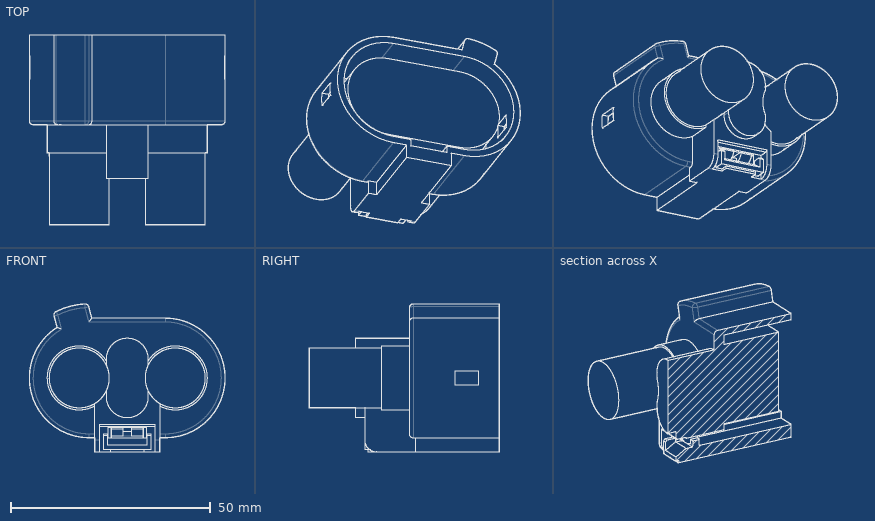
import cadquery as cq
import math


body_length = 49.0
body_radius = 15.0
body_depth = 22.5
front_fillet = 1.0
wall = 1.75
front_wall = 2.95
end_center = body_length / 2 - body_radius

core_radius = 10.8
core_setback = 3.65

rib_radius = 18.55
rib_width = 9.0
rib_tilt = 15.0
rib_fillet = 1.0

window_near = 5.25
window_far = 11.0
window_height = 3.55

cable_spacing = 24.0
cable_diameter = 15.0
cable_length = 25.05
collar_diameter = 16.0
collar_length = 7.0

boss_width = 10.5
boss_height = 19.9
boss_length = 13.45

latch_width = 16.3
latch_bottom = -18.5
latch_length = 11.1
latch_round = 2.95
tail_width = 11.95
tail_length = 20.9
latch_front = -(body_depth + latch_length)

recess_width = 13.9
recess_top = -11.65
recess_depth = latch_round
recess_bevel_depth = 0.5
recess_bevel_drop = 0.45
recess_ceiling = recess_top - recess_bevel_drop
recess_back = latch_front + recess_depth

frame_width = 11.95
frame_opening = 10.0
frame_top = -14.0
frame_bottom = -17.95
frame_chamfer = 0.45

foot_width = 8.45
foot_setback = 0.8

passage_width = 9.6
passage_top = -12.4
passage_bevel_depth = 0.25
passage_bottom = -15.0
lead_in_bottom = -16.7

bar_width = 8.05
bar_top = -13.35
bar_thickness = 1.95
bar_front = latch_front + 4.9
bar_ramp_top = -14.5
bar_ramp_run = 0.1
hook_gap = 2.1
hook_length = 2.35
hook_edge = -12.75
hook_radius = 2.75


def box(x_min, x_max, y_min, y_max, z_min, z_max):
    size = (x_max - x_min, y_max - y_min, z_max - z_min)
    return cq.Workplane("XY").box(*size, centered=False).translate((x_min, y_min, z_min))


def centered_box(width, y_min, y_max, z_min, z_max):
    return box(-width / 2, width / 2, y_min, y_max, z_min, z_max)


def facing_front(y):
    """Sketch plane across Y whose extrusions run towards -Y."""
    return cq.Workplane("XZ", origin=(0, y, 0))


def stadium(radius, y_start, y_end):
    length = 2 * (end_center + radius)
    return facing_front(y_start).slot2D(length, 2 * radius).extrude(y_start - y_end)


def side_profile(points, x_min, x_max):
    """Prism along X over a closed polygon of (y, z) points."""
    sketch = cq.Workplane("YZ", origin=(x_min, 0, 0)).polyline(points).close()
    return sketch.extrude(x_max - x_min)


def make_rib():
    block = centered_box(rib_width, -body_depth, 0, 0, rib_radius + 0.5)
    block = block.rotate((0, 0, 0), (0, 1, 0), -rib_tilt)
    disc = facing_front(0).circle(rib_radius).extrude(body_depth)
    half_angle = math.degrees(math.asin(rib_width / 2 / rib_radius))
    rib = block.intersect(disc)
    for side in (-1, 1):
        angle = math.radians(rib_tilt + side * half_angle)
        corner = (-rib_radius * math.sin(angle), -body_depth / 2, rib_radius * math.cos(angle))
        rib = rib.edges(cq.NearestToPointSelector(corner)).fillet(rib_fillet)
    return rib.translate((-end_center, 0, 0))


def make_shell():
    shell = stadium(body_radius, 0, -body_depth).union(make_rib())
    shell = shell.faces("<Y").edges().fillet(front_fillet)
    cavity = stadium(body_radius - wall, 0, front_wall - body_depth)
    core = stadium(core_radius, -core_setback, front_wall - body_depth)
    windows = centered_box(
        body_length, -window_far, -window_near, -window_height / 2, window_height / 2
    )
    return shell.cut(cavity).cut(windows).union(core)


def cable_circles(diameter, y_start, length):
    centers = [(-cable_spacing / 2, 0), (cable_spacing / 2, 0)]
    return facing_front(y_start).pushPoints(centers).circle(diameter / 2).extrude(length)


def make_cables():
    cables = cable_circles(cable_diameter, -body_depth, cable_length)
    return cables.union(cable_circles(collar_diameter, -body_depth, collar_length))


def make_boss():
    return facing_front(-body_depth).slot2D(boss_height, boss_width, 90).extrude(boss_length)


def make_latch_block():
    block = centered_box(latch_width, latch_front, -tail_length, latch_bottom, 0)
    block = block.edges("|X and <Y and <Z").fillet(latch_round)
    tail = centered_box(tail_width, -tail_length, 0, latch_bottom, wall - body_radius)
    return block.union(tail)


def make_recess():
    points = [
        (latch_front, recess_top),
        (latch_front + recess_bevel_depth, recess_ceiling),
        (recess_back, recess_ceiling),
        (recess_back, latch_bottom),
        (latch_front, latch_bottom),
    ]
    return side_profile(points, -recess_width / 2, recess_width / 2)


def make_frame():
    frame = centered_box(frame_width, latch_front, recess_back, frame_bottom, frame_top)
    frame = frame.edges("<Y and >Z").chamfer(frame_chamfer)
    opening = centered_box(frame_opening, latch_front, recess_back, passage_bottom, frame_top)
    return frame.cut(opening)


def make_foot():
    return centered_box(
        foot_width, latch_front + foot_setback, recess_back, latch_bottom, frame_bottom
    )


def make_passage():
    channel = [
        (latch_front, recess_ceiling),
        (recess_back, recess_ceiling),
        (recess_back + passage_bevel_depth, passage_top),
        (0, passage_top),
        (0, passage_bottom),
        (latch_front, passage_bottom),
    ]
    lead_in = [
        (latch_front, passage_bottom),
        (latch_front, lead_in_bottom),
        (recess_back, passage_bottom),
    ]
    passage = side_profile(channel, -passage_width / 2, passage_width / 2)
    return passage.union(side_profile(lead_in, -frame_opening / 2, frame_opening / 2))


def make_locking_bar():
    bar_back = bar_front + bar_thickness
    profile = [
        (bar_front - bar_ramp_run, passage_bottom),
        (bar_front, bar_ramp_top),
        (bar_front, bar_top),
        (bar_back, bar_top),
        (bar_back, passage_bottom),
    ]
    bar = side_profile(profile, -bar_width / 2, bar_width / 2)
    for hook_left in (-bar_width / 2, hook_gap / 2):
        bar = bar.union(make_hook(hook_left, bar_back))
    return bar


def make_hook(left, back):
    front = bar_front - hook_length
    return (
        cq.Workplane("YZ", origin=(left, 0, 0))
        .moveTo(front, passage_top)
        .lineTo(front, hook_edge)
        .radiusArc((bar_front, bar_ramp_top), -hook_radius)
        .lineTo(back, bar_ramp_top)
        .lineTo(back, passage_top)
        .close()
        .extrude((bar_width - hook_gap) / 2)
    )


latch = (
    make_latch_block()
    .cut(make_recess())
    .union(make_frame())
    .union(make_foot())
)

result = (
    make_shell()
    .union(latch)
    .cut(make_passage())
    .union(make_locking_bar())
    .union(make_boss())
    .union(make_cables())
)